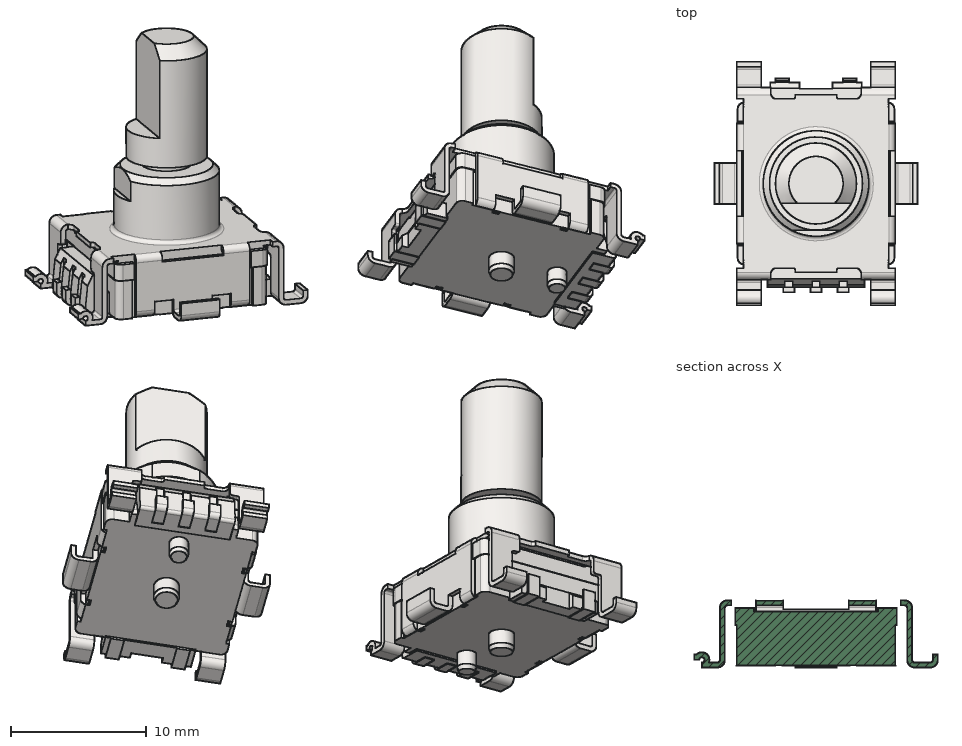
import cadquery as cq


metal = 0.38
bend_inner = 0.2
bend_outer = bend_inner + metal
frame_half_x = 5.85
frame_half_y = 7.1
plate_top = 5.04
plate_bottom = plate_top - metal
foot_bottom = 0.06
bend_height = foot_bottom + bend_outer

leg_inner_x = 4.02
shoulder_inner_x = 3.33
shoulder_z = 3.45
shoulder_round = 0.2
leg_tip_y = 9.0
leg_tip_z = 1.03
tab_half_width = 1.52
tab_tip_x = 7.5
tab_tip_z = 1.54
notch_inner_x = 1.52
notch_depth = 0.3
notch_outer_round = 0.42
notch_inner_round = 0.2

side_bend_inner = 0.13
side_bend_outer = side_bend_inner + metal
wall_half_length = 4.45
wall_bottom = 0.75
relief_half_length = 3.0
relief_top = 1.37
slot_half_length = 2.4
slot_bottom = 4.38
corner_end_y = 6.24

overlap = 0.21

body_half_y = 5.98
body_step = 0.06
body_step_z = 3.2
body_bottom = 0.21
body_chamfer = 0.32
core_top = 4.21
pocket_length = 0.5
pocket_depth = 0.32
pillar_half_x = 5.8
pillar_start_y = 4.57
pillar_lower_start_y = 4.75
pillar_top = 4.47
pillar_round = 0.5

block_half_x = 3.58
block_top = body_step_z
block_ridge_y = 7.04
block_break_y = 7.45
block_break_z = 2.38
block_front_y = 7.7
block_bottom = 0.06
block_round = 0.23
ear_half_x = leg_inner_x
ear_top = 1.85
ear_ridge_y = 6.45
ear_front_y = 6.75
ear_break_z = 0.75
terminal_pitch = 2.0
terminal_width = 0.85
terminal_front_y = 8.03
terminal_back_y = 6.36
terminal_top = 1.2
groove_width = 0.6
groove_back_y = 7.23

rear_top = 1.37
rear_bar_half_x = 3.4
rear_bar_y = 7.0
rear_block_inner_x = 1.2
rear_block_y = 7.45
rear_chamfer_y = 0.45
rear_chamfer_z = 0.35
rear_terminal_x = 2.49
rear_terminal_width = 1.01
rear_terminal_y = 7.75
rear_terminal_back_y = 5.77
rear_terminal_top = 1.58
rear_metal = 0.17

bushing_radius = 3.9
bushing_top = 9.99
bushing_chamfer = 0.46
bushing_flare = 0.32
bushing_flat_y = 3.45
bushing_flat_z = 7.99

neck_radius = 1.8
shaft_radius = 3.0
shaft_bottom = 10.62
shaft_top = 19.87
shaft_chamfer = 1.0
shaft_flat_y = 1.45
shaft_flat_z = 12.87

pin_bottom = -1.2
pin_taper_height = 0.34
pin_taper = 0.13
center_pin_radius = 0.95
front_pin_radius = 0.72
front_pin_y = -4.47


def block(x0, x1, y0, y1, z0, z1):
    """Box between two opposite corners."""
    return cq.Workplane("XY").box(x1 - x0, y1 - y0, z1 - z0, centered=False).translate((x0, y0, z0))


def along_x(outline, x0, x1):
    """Extrude a closed YZ outline from x0 to x1."""
    return outline.extrude(x1 - x0).translate((x0, 0, 0))


def mirrored(shape, plane):
    """The shape together with its mirror image."""
    return shape.union(shape.mirror(plane))


def half_turned(shape):
    """The shape together with its copy turned half a turn about Z."""
    return shape.union(shape.rotate((0, 0, 0), (0, 0, 1), 180))


def top_bend(face, inner, outer):
    """YZ outline of the bend from the top plate into a wall whose outer face is at y = face."""
    start = face - outer
    return (
        cq.Workplane("YZ")
        .moveTo(start, plate_top)
        .radiusArc((face, plate_top - outer), outer)
        .lineTo(face - metal, plate_top - outer)
        .radiusArc((start, plate_bottom), -inner)
        .close()
    )


def hook_outline(face, wall_top, tip, tip_top):
    """YZ outline of a wall that bends outward into a foot and up again at its tip."""
    back = face - metal
    tip_inner = tip - metal
    foot_start = back + bend_outer
    foot_end = tip - bend_outer
    foot_top = foot_bottom + metal
    return (
        cq.Workplane("YZ")
        .moveTo(back, wall_top)
        .lineTo(back, bend_height)
        .radiusArc((foot_start, foot_bottom), -bend_outer)
        .lineTo(foot_end, foot_bottom)
        .radiusArc((tip, bend_height), -bend_outer)
        .lineTo(tip, tip_top)
        .lineTo(tip_inner, tip_top)
        .lineTo(tip_inner, bend_height)
        .radiusArc((foot_end, foot_top), bend_inner)
        .lineTo(foot_start, foot_top)
        .radiusArc((face, bend_height), bend_inner)
        .lineTo(face, wall_top)
        .close()
    )


def leg():
    """Corner leg on the +X, +Y corner with its wider shoulder and top bend."""
    wall_top = plate_top - bend_outer
    strip = along_x(hook_outline(frame_half_y, wall_top, leg_tip_y, leg_tip_z), leg_inner_x, frame_half_x)
    bend = along_x(top_bend(frame_half_y, bend_inner, bend_outer), shoulder_inner_x, frame_half_x)
    shoulder = (
        cq.Workplane("XZ", origin=(0, frame_half_y, 0))
        .moveTo(shoulder_inner_x, wall_top)
        .lineTo(shoulder_inner_x, shoulder_z + shoulder_round)
        .radiusArc((shoulder_inner_x + shoulder_round, shoulder_z), -shoulder_round)
        .lineTo(leg_inner_x - shoulder_round, shoulder_z)
        .radiusArc((leg_inner_x, shoulder_z - shoulder_round), shoulder_round)
        .lineTo(frame_half_x, shoulder_z - shoulder_round)
        .lineTo(frame_half_x, wall_top)
        .close()
        .extrude(metal)
    )
    return strip.union(bend).union(shoulder)


def rolled_leg():
    """Corner leg on the +X, -Y corner, whose tip bend rolls back over the foot and ends in a lip."""
    roll_y = leg_tip_y - bend_outer
    width = frame_half_x - leg_inner_x
    tip_corner = block(leg_inner_x, frame_half_x, roll_y, leg_tip_y, foot_bottom, bend_height)
    roll = (
        cq.Workplane("YZ", origin=(leg_inner_x, roll_y, bend_height))
        .circle(bend_outer)
        .circle(bend_inner)
        .extrude(width)
    )
    return leg().union(roll).cut(tip_corner).mirror("XZ")


def frame_plate():
    """Top plate with its edge notches between the legs and its cut-back corners."""
    half_x = frame_half_x - side_bend_outer
    half_y = frame_half_y - bend_outer
    plate = block(-half_x, half_x, -half_y, half_y, plate_bottom, plate_top)
    corner_strip = block(-frame_half_x, frame_half_x, corner_end_y, half_y, plate_bottom, plate_top)
    plate = plate.union(mirrored(corner_strip, "XZ"))
    notch = block(notch_inner_x, shoulder_inner_x, half_y - notch_depth, frame_half_y,
                  plate_bottom, plate_top)
    notch = notch.edges("|Z and >X and <Y").fillet(notch_outer_round)
    notch = notch.edges("|Z and <X and <Y").fillet(notch_inner_round)
    return plate.cut(mirrored(mirrored(notch, "YZ"), "XZ"))


def side_wall():
    """Wall, bends and mounting tab of one side, built facing +Y and turned to face +X."""
    face = frame_half_x
    back = face - metal
    bend_bottom = plate_top - side_bend_outer
    clinch = wall_bottom - body_bottom
    wall = block(-wall_half_length, wall_half_length, back, face, wall_bottom, bend_bottom)
    bend = top_bend(face, side_bend_inner, side_bend_outer)
    wall = wall.union(along_x(bend, -wall_half_length, wall_half_length))
    clinch_outline = (
        cq.Workplane("YZ")
        .moveTo(face, wall_bottom)
        .radiusArc((face - clinch, body_bottom), clinch)
        .lineTo(face - clinch, wall_bottom)
        .close()
    )
    wall = wall.union(along_x(clinch_outline, -wall_half_length, wall_half_length))
    relief = block(-relief_half_length, relief_half_length, back, face, body_bottom, relief_top)
    slot = block(-slot_half_length, slot_half_length, face - side_bend_outer, face, slot_bottom, plate_top)
    tab = along_x(hook_outline(face, relief_top, tab_tip_x, tab_tip_z), -tab_half_width, tab_half_width)
    return wall.cut(relief).cut(slot).union(tab).rotate((0, 0, 0), (0, 0, 1), -90)


def pillar_bar(half_x, start_y, end_y, bottom, top):
    """Wide bar at the rear end of the body whose two outer corners are rounded pillars."""
    bar = block(-half_x, half_x, start_y, end_y, bottom, top)
    return bar.edges("|Z and >Y").fillet(pillar_round)


def body():
    """Moulded body with stepped corner pillars and a pocket at each end of the tab reliefs."""
    half_x = frame_half_x - metal
    top_half_x = frame_half_x - side_bend_outer
    core = block(-half_x, half_x, -pillar_lower_start_y, pillar_lower_start_y, body_bottom, core_top)
    pocket = block(half_x - pocket_depth, half_x,
                   relief_half_length - pocket_length, relief_half_length, body_bottom, wall_bottom)
    core = core.cut(mirrored(mirrored(pocket, "YZ"), "XZ"))
    upper = block(-top_half_x, top_half_x, -body_half_y, body_half_y, body_step_z, plate_bottom)
    upper = upper.faces(">Z").edges("|X").chamfer(body_chamfer)
    pillars = pillar_bar(pillar_half_x, pillar_start_y, body_half_y, body_step_z, pillar_top)
    gap = block(-shoulder_inner_x, shoulder_inner_x, 0, body_half_y, body_step_z, pillar_top)
    pillars = pillars.cut(gap)
    lower_bar = pillar_bar(pillar_half_x - body_step, pillar_lower_start_y, body_half_y - body_step,
                           body_bottom, body_step_z)
    return core.union(upper).union(mirrored(pillars.union(lower_bar), "XZ"))


def connector_block():
    """Sloped front block, its flanking ears, the terminal grooves and the bent terminals."""
    root_y = body_half_y - overlap
    outline = cq.Workplane("YZ").polyline([
        (-root_y, block_bottom),
        (-root_y, block_top),
        (-block_ridge_y, block_top),
        (-block_break_y, block_break_z),
        (-block_front_y, block_bottom),
    ]).close()
    shape = along_x(outline, -block_half_x, block_half_x)
    shape = shape.faces("<Z").edges("<Y").fillet(block_round)
    ear_outline = cq.Workplane("YZ").polyline([
        (-root_y, body_bottom),
        (-root_y, ear_top),
        (-ear_ridge_y, ear_top),
        (-ear_front_y, ear_break_z),
        (-ear_front_y, body_bottom),
    ]).close()
    shape = shape.union(along_x(ear_outline, -ear_half_x, ear_half_x))
    for x in (-terminal_pitch, 0, terminal_pitch):
        half_groove = groove_width / 2
        half_terminal = terminal_width / 2
        groove = block(x - half_groove, x + half_groove,
                       -terminal_front_y, -groove_back_y, metal, block_top)
        terminal_outline = (
            cq.Workplane("YZ")
            .moveTo(-terminal_back_y, 0)
            .lineTo(-terminal_front_y + metal, 0)
            .radiusArc((-terminal_front_y, metal), metal)
            .lineTo(-terminal_front_y, terminal_top)
            .lineTo(-terminal_front_y + metal, terminal_top)
            .lineTo(-terminal_front_y + metal, metal)
            .lineTo(-terminal_back_y, metal)
            .close()
        )
        terminal = along_x(terminal_outline, x - half_terminal, x + half_terminal)
        shape = shape.cut(groove).union(terminal)
    return shape


def rear_blocks():
    """Low rear bar, its two chamfered blocks and their thin L-shaped terminals."""
    root_y = body_half_y - overlap
    bar = block(-rear_bar_half_x, rear_bar_half_x, root_y, rear_bar_y, foot_bottom, rear_top)
    nose_outline = cq.Workplane("YZ").polyline([
        (root_y, foot_bottom),
        (root_y, rear_top),
        (rear_block_y - rear_chamfer_y, rear_top),
        (rear_block_y, rear_top - rear_chamfer_z),
        (rear_block_y, foot_bottom),
    ]).close()
    nose = along_x(nose_outline, rear_block_inner_x, rear_bar_half_x)
    x0 = rear_terminal_x - rear_terminal_width / 2
    x1 = x0 + rear_terminal_width
    foot = block(x0, x1, rear_terminal_back_y, rear_terminal_y, 0, rear_metal)
    blade = block(x0, x1, rear_terminal_y - rear_metal, rear_terminal_y, 0, rear_terminal_top)
    return bar.union(mirrored(nose.union(foot).union(blade), "YZ"))


def bushing():
    """Flared bushing with a chamfered rim and a flat on the front."""
    outline = (
        cq.Workplane("XZ")
        .moveTo(0, plate_bottom)
        .lineTo(bushing_radius + bushing_flare, plate_bottom)
        .lineTo(bushing_radius + bushing_flare, plate_top)
        .radiusArc((bushing_radius, plate_top + bushing_flare), bushing_flare)
        .lineTo(bushing_radius, bushing_top - bushing_chamfer)
        .lineTo(bushing_radius - bushing_chamfer, bushing_top)
        .lineTo(0, bushing_top)
        .close()
    )
    flat = block(-bushing_radius, bushing_radius, -bushing_radius, -bushing_flat_y,
                 bushing_flat_z, bushing_top)
    return outline.revolve(360, (0, 0, 0), (0, 1, 0)).cut(flat)


def shaft():
    """Shaft on a narrower neck, with a chamfered tip and a flat on the front."""
    neck = cq.Workplane("XY", origin=(0, 0, bushing_top - overlap)).circle(neck_radius).extrude(
        shaft_bottom - bushing_top + 2 * overlap)
    rod = cq.Workplane("XY", origin=(0, 0, shaft_bottom)).circle(shaft_radius).extrude(
        shaft_top - shaft_bottom)
    rod = rod.faces(">Z").chamfer(shaft_chamfer)
    flat = block(-shaft_radius, shaft_radius, -shaft_radius, -shaft_flat_y, shaft_flat_z, shaft_top)
    return neck.union(rod.cut(flat))


def pin(radius, y):
    """Locating pin with a tapered tip below the body."""
    outline = cq.Workplane("XZ").polyline([
        (0, body_bottom + overlap),
        (radius, body_bottom + overlap),
        (radius, pin_bottom + pin_taper_height),
        (radius - pin_taper, pin_bottom),
        (0, pin_bottom),
    ]).close()
    return outline.revolve(360, (0, 0, 0), (0, 1, 0)).translate((0, y, 0))


result = (
    body()
    .union(frame_plate())
    .union(half_turned(side_wall()))
    .union(mirrored(leg(), "YZ"))
    .union(mirrored(rolled_leg(), "YZ"))
    .union(connector_block())
    .union(rear_blocks())
    .union(bushing())
    .union(shaft())
    .union(pin(center_pin_radius, 0))
    .union(pin(front_pin_radius, front_pin_y))
)